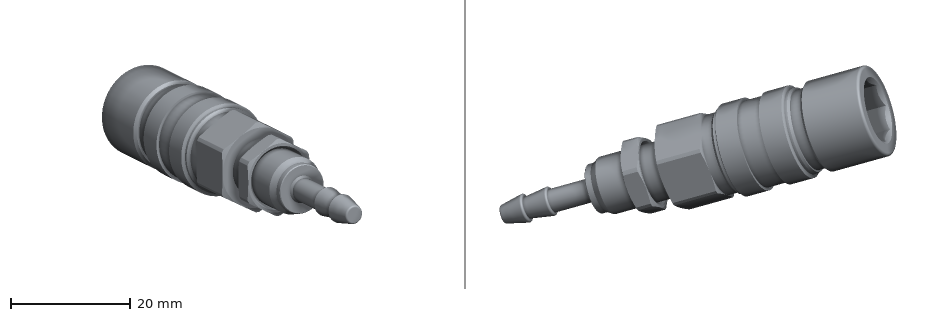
import cadquery as cq
import math

LENGTH = 69.0

SLEEVE_DIA = 15.8
SLEEVE_END = 11.0
SLEEVE_FILLET = 0.5
SLEEVE_CHAMFER = 0.5

NECK_DIA = 14.0
RING_START = 12.9
RING_END = 27.5
SHOULDER_DIA = 15.0
FRONT_FACE_DIA = 14.6
SHOULDER_BEVEL = 0.5
SHOULDER_LENGTH = 1.0
BAND_DIA = 16.15
BAND_BEVEL = 0.3
GROOVE_DIA = 15.1
GROOVE_START = 18.3
GROOVE_END = 22.35

BODY_HEX_START = 29.4
BODY_HEX_END = 37.95
BODY_HEX_FLATS = 14.0
BODY_HEX_CORNER_DIA = 15.8
NUT_START = 41.4
NUT_END = 44.65
NUT_FLATS = 12.1
NUT_CORNER_DIA = 13.5
NUT_COUNTERSINK = 0.55
HEX_BEVEL = 0.3

SHANK_DIA = 10.0
SHANK_END = 49.75
PILOT_DIA = 8.6
PILOT_START = 50.9
PILOT_END = 52.1
PILOT_CHAMFER = 0.15

STEM_DIA = 4.1
STEM_FLARE = 0.35
BARB_STARTS = (59.9, 64.45)
BARB_DIA = 5.2
BARB_FILLET = 0.35
BARB_ROOT_DIA = 3.8
TIP_DIA = 3.2
TIP_FILLET = 0.35

SOCKET_CORNER_DIA = 11.0
SOCKET_DEPTH = 13.8
MOUTH_DIA = 11.6


def revolve_profile(points):
    """Solid of revolution about X from (x, radius) points, closed along the axis."""
    outline = [(points[0][0], 0)] + points + [(points[-1][0], 0)]
    return cq.Workplane("XY").polyline(outline).close().revolve(360, (0, 0, 0), (1, 0, 0))


def cylinder(start, end, diameter):
    return revolve_profile([(start, diameter / 2), (end, diameter / 2)])


def prism(sides, corner_dia, start, end):
    """Regular prism along X with one corner on +Z."""
    step = 2 * math.pi / sides
    corners = [
        (corner_dia / 2 * math.sin(i * step), corner_dia / 2 * math.cos(i * step))
        for i in range(sides)
    ]
    return cq.Workplane("YZ", origin=(start, 0, 0)).polyline(corners).close().extrude(end - start)


def turned_hexagon(start, end, flats, corner_dia):
    """Hexagon with its corners turned down to corner_dia and both ends bevelled."""
    hexagon = prism(6, flats / math.cos(math.pi / 6), start, end)
    envelope = revolve_profile([
        (start, flats / 2),
        (start + HEX_BEVEL, corner_dia / 2),
        (end - HEX_BEVEL, corner_dia / 2),
        (end, flats / 2),
    ])
    return hexagon.intersect(envelope)


def nut():
    """Hexagon nut whose bore is countersunk at 45 degrees on both faces."""
    blank = turned_hexagon(NUT_START, NUT_END, NUT_FLATS, NUT_CORNER_DIA)
    bore_radius = SHANK_DIA / 2
    bore = revolve_profile([
        (NUT_START, bore_radius + NUT_COUNTERSINK),
        (NUT_START + NUT_COUNTERSINK, bore_radius),
        (NUT_END - NUT_COUNTERSINK, bore_radius),
        (NUT_END, bore_radius + NUT_COUNTERSINK),
    ])
    return blank.cut(bore)


def ring_end(face_dia):
    """Profile of one end of the grip ring, as (distance from the end face, radius) points."""
    return [
        (0, face_dia / 2),
        (SHOULDER_BEVEL, SHOULDER_DIA / 2),
        (SHOULDER_LENGTH, SHOULDER_DIA / 2),
        (SHOULDER_LENGTH + BAND_BEVEL, BAND_DIA / 2),
    ]


def grip_ring():
    front = [(RING_START + distance, radius) for distance, radius in ring_end(FRONT_FACE_DIA)]
    rear = [(RING_END - distance, radius) for distance, radius in reversed(ring_end(NECK_DIA))]
    groove = [
        (GROOVE_START, BAND_DIA / 2),
        (GROOVE_START, GROOVE_DIA / 2),
        (GROOVE_END, GROOVE_DIA / 2),
        (GROOVE_END, BAND_DIA / 2),
    ]
    return revolve_profile(front + groove + rear)


def shank():
    return revolve_profile([
        (BODY_HEX_END, SHANK_DIA / 2),
        (SHANK_END, SHANK_DIA / 2),
        (PILOT_START, PILOT_DIA / 2),
        (PILOT_END - PILOT_CHAMFER, PILOT_DIA / 2),
        (PILOT_END, PILOT_DIA / 2 - PILOT_CHAMFER),
    ])


def barb(start, end, end_dia):
    """Cone tapering down to end_dia, with the rim of its wide end rounded."""
    cone = revolve_profile([(start, BARB_DIA / 2), (end, end_dia / 2)])
    return cone.faces("<X").edges().fillet(BARB_FILLET)


def stem():
    first, second = BARB_STARTS
    tube = revolve_profile([
        (PILOT_END, STEM_DIA / 2 + STEM_FLARE),
        (PILOT_END + STEM_FLARE, STEM_DIA / 2),
        (first, STEM_DIA / 2),
    ])
    tip_barb = barb(second, LENGTH, TIP_DIA).faces(">X").edges().fillet(TIP_FILLET)
    return tube.union(barb(first, second, BARB_ROOT_DIA)).union(tip_barb)


def socket():
    """Octagonal pocket with a 45 degree countersink at its mouth."""
    flats_radius = SOCKET_CORNER_DIA / 2 * math.cos(math.pi / 8)
    mouth_radius = MOUTH_DIA / 2
    octagon = prism(8, SOCKET_CORNER_DIA, 0, SOCKET_DEPTH)
    countersink = revolve_profile([(0, mouth_radius), (mouth_radius - flats_radius, flats_radius)])
    return octagon.union(countersink)


sleeve = cylinder(0, SLEEVE_END, SLEEVE_DIA)
sleeve = sleeve.faces("<X").edges().fillet(SLEEVE_FILLET)
sleeve = sleeve.faces(">X").edges().chamfer(SLEEVE_CHAMFER)

result = (
    sleeve
    .union(cylinder(SLEEVE_END, BODY_HEX_START, NECK_DIA))
    .union(grip_ring())
    .union(turned_hexagon(BODY_HEX_START, BODY_HEX_END, BODY_HEX_FLATS, BODY_HEX_CORNER_DIA))
    .union(shank())
    .union(nut())
    .union(stem())
    .cut(socket())
)